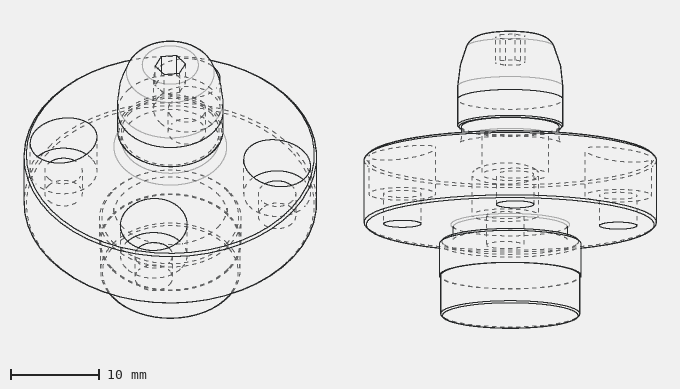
import cadquery as cq
import math

flange_radius = 16.5
flange_bottom = 10.43
flange_edge_top = 18.12
edge_chamfer = 0.25

spigot_radius = 7.85
spigot_chamfer = 0.2
band_radius = 8.0
band_bottom = 4.6
band_top = 8.5
band_chamfer = 0.25
undercut_radius = 6.45
undercut_fillet = 0.25

neck_radius = 5.5
neck_flare_top = 20.43
flare_radius = 6.37
flare_top = 19.4
nose_radius = 5.95
nose_bottom = 21.68
nose_chamfer = 0.15
joint_height = 24.8

cap_top = 32.0
dome_start = 26.3
dome_end_radius = 4.95
dome_end = 30.85
cap_face_radius = 3.17
socket_across_flats = 2.97
socket_depth = 2.97

hole_offset = 8.6
hole_radius = 2.1
counterbore_radius = 3.75
counterbore_floor = 13.85

flare_run = flare_radius - neck_radius
flare_drop = neck_flare_top - flare_top
flare_arc_radius = (flare_run**2 + flare_drop**2) / (2 * flare_run)
flare_half_angle = math.asin(flare_drop / flare_arc_radius) / 2
flare_middle = (
    neck_radius + flare_arc_radius * (1 - math.cos(flare_half_angle)),
    neck_flare_top - flare_arc_radius * math.sin(flare_half_angle),
)


def make_base():
    """Flange with its spigot, neck and the lower part of the nose."""
    profile = (
        cq.Workplane("XZ")
        .moveTo(0, 0)
        .lineTo(spigot_radius - spigot_chamfer, 0)
        .lineTo(spigot_radius, spigot_chamfer)
        .lineTo(spigot_radius, band_bottom)
        .lineTo(band_radius, band_bottom)
        .lineTo(band_radius, band_top - band_chamfer)
        .lineTo(band_radius - band_chamfer, band_top)
        .lineTo(undercut_radius + undercut_fillet, band_top)
        .radiusArc((undercut_radius, band_top + undercut_fillet), undercut_fillet)
        .lineTo(undercut_radius, flange_bottom - undercut_fillet)
        .radiusArc((undercut_radius + undercut_fillet, flange_bottom), undercut_fillet)
        .lineTo(flange_radius - edge_chamfer, flange_bottom)
        .lineTo(flange_radius, flange_bottom + edge_chamfer)
        .lineTo(flange_radius, flange_edge_top - edge_chamfer)
        .lineTo(flange_radius - edge_chamfer, flange_edge_top)
        .lineTo(flare_radius, flare_top)
        .threePointArc(flare_middle, (neck_radius, neck_flare_top))
        .lineTo(neck_radius, nose_bottom)
        .lineTo(nose_radius - nose_chamfer, nose_bottom)
        .lineTo(nose_radius, nose_bottom + nose_chamfer)
        .lineTo(nose_radius, joint_height)
        .lineTo(0, joint_height)
        .close()
    )
    return cut_screw_holes(profile.revolve(360, (0, 0), (0, 1)))


def cut_screw_holes(base):
    """Four counterbored holes through the flange."""
    for x_side in (-1, 1):
        for y_side in (-1, 1):
            center = (x_side * hole_offset, y_side * hole_offset)
            hole = (
                cq.Workplane("XY", origin=(*center, flange_bottom))
                .circle(hole_radius)
                .extrude(counterbore_floor - flange_bottom)
            )
            counterbore = (
                cq.Workplane("XY", origin=(*center, counterbore_floor))
                .circle(counterbore_radius)
                .extrude(flare_top - counterbore_floor)
            )
            base = base.cut(hole).cut(counterbore)
    return base


def make_cap():
    """Domed nose cap with a hexagon socket."""
    dome_run = nose_radius - dome_end_radius
    dome_rise = dome_end - dome_start
    dome_radius = (dome_run**2 + dome_rise**2) / (2 * dome_run)
    shoulder_run = dome_end_radius - cap_face_radius
    shoulder_rise = cap_top - dome_end
    shoulder_radius = (shoulder_run**2 + shoulder_rise**2) / (2 * shoulder_rise)
    profile = (
        cq.Workplane("XZ")
        .moveTo(0, joint_height)
        .lineTo(nose_radius, joint_height)
        .lineTo(nose_radius, dome_start)
        .radiusArc((dome_end_radius, dome_end), -dome_radius)
        .radiusArc((cap_face_radius, cap_top), -shoulder_radius)
        .lineTo(0, cap_top)
        .close()
    )
    socket_across_corners = socket_across_flats / math.cos(math.pi / 6)
    socket = (
        cq.Workplane("XY", origin=(0, 0, cap_top - socket_depth))
        .polygon(6, socket_across_corners)
        .extrude(socket_depth)
    )
    return profile.revolve(360, (0, 0), (0, 1)).cut(socket)


base = make_base()
cap = make_cap()
result = cq.Compound.makeCompound([base.val(), cap.val()])